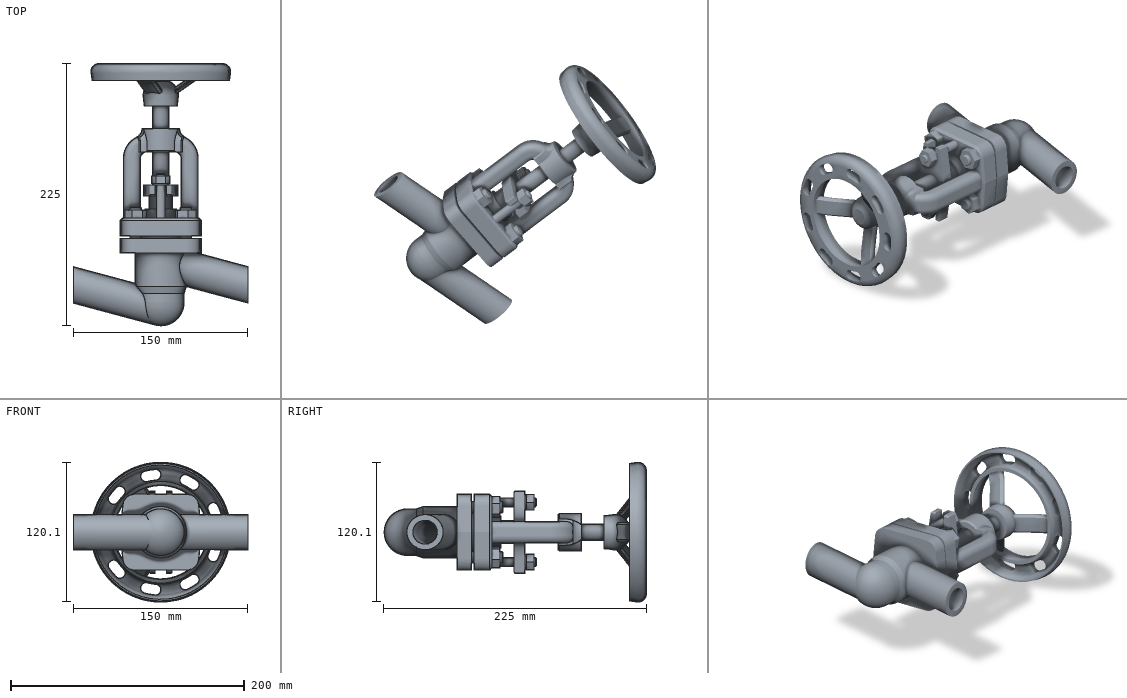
import cadquery as cq
import math

total_length = 225
pipe_span = 150.0

nose_radius = 20.0
nose_top = 27.7
body_radius = 22.0
body_cone_top = 33.5

pipe_radius = 15.0
pipe_bore_radius = 10.1
pipe_angle = 15
pipe_end_y = 35.0

flange_half_height = 32.6
flange_peak_x = 34.9
flange_corner_x = 31.7
flange_corner_radius = 10.4
body_flange_bottom = 62.5
body_flange_top = 75.0
bonnet_bottom = 77.2
bonnet_top = 92.5
bonnet_chamfer = 2.0
gasket_radius = 16.9

bolt_offset = 21.5
bolt_radius = 5.0
bolt_top = 102.2
bolt_nut_height = 6.8
bolt_nut_flats = 16.2
bolt_nut_turn = 19

stem_radius = 7.0
boss_radius = 13.7
boss_top = 100.1
gland_radius = 10.0
gland_flange_bottom = 111.4
gland_flange_top = 120.8
gland_half_length = 35.3
gland_half_width = 14.8
gland_tip_half_width = 9.5
gland_tip_fillet = 1.1
gland_tip_chamfer = 1.1
gland_slot_radius = 4.7

stud_offset = 25.6
stud_radius = 3.8
stud_top = 130.7
stud_washer_radius = 6.5
stud_washer_height = 1.1
stud_nut_height = 6.8
stud_nut_flats = 13.5
thread_end_chamfer = 1.0

yoke_ring_radius = 16.2
yoke_top = 169.2
yoke_chamfer = 1.1
yoke_counterbore_radius = 10.0
yoke_counterbore_depth = 4.5
arm_center_x = 24.8
arm_width = 14.6
arm_depth = 18.2
arm_corner_radius = 5.6
arm_bend_start = 143.5
arm_bend_radius = 13.0
yoke_bottom = arm_bend_start + arm_bend_radius - arm_width / 2
shoulder_half_depth = 11.2
shoulder_arch_start = 155.2
shoulder_top_half_depth = 6.3
shoulder_reach = 20.7
shoulder_flare_start = 162
shoulder_flare_sag = 1.0

rim_bottom = 210.4
rim_widest_y = 217.1
rim_diameter = 120.0
rim_radius = rim_diameter / 2
rim_bottom_radius = 59.0
rim_top_radius = 53.5
rim_lip_inner_radius = 57.5
web_bottom = 219.2
web_outer_radius = 53.5
web_inner_radius = 45.5
web_fillet = 3.0
inner_lip_bottom = 212.0
inner_lip_outer_radius = 43.6
inner_lip_inner_radius = 40.5
rim_bore_radius = 40.0
slot_count = 9
slot_radius = 49.5
slot_width = 9
slot_sweep = 20
slot_fillet = 4.3
hub_bottom = 188.5
hub_bottom_radius = 14.2
hub_belt_y = 196.5
hub_belt_radius = 15.0
hub_shoulder_radius = 13.7
hub_shoulder_y = 203.6
hub_top = 210.0
spoke_count = 3
spoke_width = 16.9
spoke_thickness = 6.3
spoke_edge_chamfer = 2.0
spoke_foot_radius = 12.4
spoke_foot_y = 198.5
spoke_bend_radius = 30.4
spoke_bend_y = 210.8
spoke_end_radius = 40.7
spoke_end_y = 216


def section_at(y):
    """Sketch plane across the stem axis; its local axes are X and Z."""
    return cq.Workplane("XZ", origin=(0, y, 0))


def rod(radius, y_start, y_end, x=0, z=0):
    return section_at(y_start).center(x, z).circle(radius).extrude(y_start - y_end)


def threaded_rod(radius, y_start, y_end, x, z):
    """Plain rod with a chamfered free end."""
    return rod(radius, y_start, y_end, x, z).faces(">Y").chamfer(thread_end_chamfer)


def hex_nut(flats, y_start, height, x, z, turn=0):
    corner_diameter = flats / math.cos(math.radians(30))
    nut = section_at(y_start).polygon(6, corner_diameter).extrude(-height)
    return nut.rotate((0, 0, 0), (0, 1, 0), -turn).translate((x, 0, z))


def make_body():
    profile = (
        cq.Workplane("XY")
        .moveTo(0, 0)
        .radiusArc((nose_radius, nose_radius), -nose_radius)
        .lineTo(nose_radius, nose_top)
        .lineTo(body_radius, body_cone_top)
        .lineTo(body_radius, body_flange_bottom)
        .lineTo(0, body_flange_bottom)
        .close()
    )
    return profile.revolve(360, (0, 0, 0), (0, 1, 0))


def pipe_cylinder(side, radius):
    """Sloping cylinder from the stem axis to a vertical end; side is -1 or +1."""
    end_x = pipe_span / 2
    overrun = 11.2
    slope = math.radians(pipe_angle)
    axis_y = pipe_end_y + side * end_x * math.tan(slope)
    direction = cq.Vector(side * math.cos(slope), -side * math.sin(slope), 0)
    length = end_x / math.cos(slope) + overrun
    cylinder = cq.Solid.makeCylinder(radius, length, cq.Vector(0, axis_y, 0), direction)
    keep = cq.Workplane("XY").box(pipe_span, 2 * total_length, 4 * pipe_radius)
    return cq.Workplane(cylinder).intersect(keep)


def flange_plate(y_start, y_end):
    """Plate with slightly peaked sides in X and rounded corners."""
    corner_points = [
        (flange_peak_x, 0),
        (flange_corner_x, flange_half_height),
        (-flange_corner_x, flange_half_height),
        (-flange_peak_x, 0),
        (-flange_corner_x, -flange_half_height),
        (flange_corner_x, -flange_half_height),
    ]
    plate = section_at(y_start).polyline(corner_points).close().extrude(y_start - y_end)
    corners = plate.edges("|Y").edges(">Z or <Z")
    return corners.fillet(flange_corner_radius)


def make_flanges():
    bonnet = flange_plate(bonnet_bottom, bonnet_top).faces(">Y").chamfer(bonnet_chamfer)
    gasket = rod(gasket_radius, body_flange_bottom, bonnet_top)
    flanges = flange_plate(body_flange_bottom, body_flange_top).union(gasket).union(bonnet)
    first_bolt = threaded_rod(bolt_radius, body_flange_bottom, bolt_top, bolt_offset, bolt_offset).union(
        hex_nut(bolt_nut_flats, bonnet_top, bolt_nut_height, bolt_offset, bolt_offset, bolt_nut_turn)
    )
    for quarter in range(4):
        flanges = flanges.union(first_bolt.rotate((0, 0, 0), (0, 1, 0), 90 * quarter))
    return flanges


def make_gland():
    """Packing gland with a forked flange held down by two studs."""
    outline = [
        (gland_half_width, 0),
        (gland_tip_half_width, gland_half_length),
        (-gland_tip_half_width, gland_half_length),
        (-gland_half_width, 0),
        (-gland_tip_half_width, -gland_half_length),
        (gland_tip_half_width, -gland_half_length),
    ]
    thickness = gland_flange_top - gland_flange_bottom
    flange = section_at(gland_flange_bottom).polyline(outline).close().extrude(-thickness)
    flange = flange.faces(">Z or <Z").edges("<Y").chamfer(gland_tip_chamfer)
    flange = flange.edges("|Y").edges(">Z or <Z").fillet(gland_tip_fillet)
    gland = rod(gland_radius, boss_top, gland_flange_bottom)
    gland = gland.union(rod(boss_radius, bonnet_top, boss_top))
    for side in (-1, 1):
        slot = (
            section_at(gland_flange_bottom)
            .center(0, side * (stud_offset + gland_half_length / 2))
            .slot2D(gland_half_length + 2 * gland_slot_radius, 2 * gland_slot_radius, 90)
            .extrude(-thickness)
        )
        flange = flange.cut(slot)
    gland = gland.union(flange)
    nut_seat = gland_flange_top + stud_washer_height
    for z in (-stud_offset, stud_offset):
        gland = gland.union(threaded_rod(stud_radius, bonnet_top, stud_top, 0, z))
        gland = gland.union(rod(stud_washer_radius, gland_flange_top, nut_seat, 0, z))
        gland = gland.union(hex_nut(stud_nut_flats, nut_seat, stud_nut_height, 0, z))
    return gland


def yoke_arm():
    """Arm on the +X side, rising from the bonnet and bending into the ring."""
    bend_center_x = arm_center_x - arm_bend_radius
    path = (
        cq.Workplane("XY")
        .moveTo(arm_center_x, bonnet_top)
        .lineTo(arm_center_x, arm_bend_start)
        .radiusArc((bend_center_x, arm_bend_start + arm_bend_radius), -arm_bend_radius)
    )
    bar = cq.Sketch().rect(arm_width, arm_depth).vertices().fillet(arm_corner_radius)
    return section_at(bonnet_top).center(arm_center_x, 0).placeSketch(bar).sweep(path)


def yoke_shoulder():
    """Arched block on the +X side that flares from the ring out to the arm."""
    flare_mid_radius = (yoke_ring_radius + shoulder_reach) / 2 - shoulder_flare_sag
    flare_mid_y = (yoke_top + shoulder_flare_start) / 2 - shoulder_flare_sag
    flare = (
        cq.Workplane("XY")
        .moveTo(0, yoke_bottom)
        .lineTo(shoulder_reach, yoke_bottom)
        .lineTo(shoulder_reach, shoulder_flare_start)
        .threePointArc((flare_mid_radius, flare_mid_y), (yoke_ring_radius, yoke_top))
        .lineTo(0, yoke_top)
        .close()
        .revolve(360, (0, 0, 0), (0, 1, 0))
    )
    half_arch = (
        cq.Workplane("YZ")
        .moveTo(yoke_bottom, 0)
        .lineTo(yoke_bottom, shoulder_half_depth)
        .lineTo(shoulder_arch_start, shoulder_half_depth)
        .tangentArcPoint((yoke_top, shoulder_top_half_depth), relative=False)
        .lineTo(yoke_top, 0)
        .close()
        .extrude(2 * shoulder_reach)
    )
    return flare.intersect(half_arch.union(half_arch.mirror("XY")))


def make_yoke():
    yoke = rod(yoke_ring_radius, yoke_bottom, yoke_top).faces("<Y").chamfer(yoke_chamfer)
    half = yoke_arm().union(yoke_shoulder())
    yoke = yoke.union(half).union(half.mirror("YZ"))
    return yoke.cut(rod(yoke_counterbore_radius, yoke_bottom, yoke_bottom + yoke_counterbore_depth))


def make_rim():
    """Channel-shaped rim, open towards the valve body, with slots in its web."""
    crown_mid_radius = rim_top_radius + (rim_radius - rim_top_radius) * math.sqrt(0.5)
    crown_mid_y = rim_widest_y + (total_length - rim_widest_y) * math.sqrt(0.5)
    profile = (
        cq.Workplane("XY")
        .moveTo(inner_lip_inner_radius, inner_lip_bottom)
        .lineTo(inner_lip_outer_radius, inner_lip_bottom)
        .lineTo(web_inner_radius, web_bottom)
        .lineTo(web_outer_radius, web_bottom)
        .lineTo(rim_lip_inner_radius, rim_bottom)
        .lineTo(rim_bottom_radius, rim_bottom)
        .lineTo(rim_radius, rim_widest_y)
        .threePointArc((crown_mid_radius, crown_mid_y), (rim_top_radius, total_length))
        .lineTo(rim_bore_radius, total_length)
        .lineTo(rim_bore_radius, web_bottom)
        .close()
    )
    rim = profile.revolve(360, (0, 0, 0), (0, 1, 0))
    web_zone = cq.selectors.BoxSelector(
        (-rim_radius, web_bottom - web_fillet, -rim_radius),
        (rim_radius, web_bottom + web_fillet, rim_radius),
        boundingbox=True,
    )
    web_corners = rim.edges(web_zone).edges("%CIRCLE")
    rim = web_corners.fillet(web_fillet)

    slot_outer = slot_radius + slot_width / 2
    slot_inner = slot_radius - slot_width / 2
    half_sweep = math.radians(slot_sweep / 2)
    cosine = math.cos(half_sweep)
    sine = math.sin(half_sweep)
    slot = (
        section_at(web_bottom - web_fillet)
        .moveTo(slot_inner * cosine, -slot_inner * sine)
        .lineTo(slot_outer * cosine, -slot_outer * sine)
        .threePointArc((slot_outer, 0), (slot_outer * cosine, slot_outer * sine))
        .lineTo(slot_inner * cosine, slot_inner * sine)
        .threePointArc((slot_inner, 0), (slot_inner * cosine, -slot_inner * sine))
        .close()
        .extrude(web_bottom - web_fillet - total_length)
        .edges("|Y")
        .fillet(slot_fillet)
    )
    for index in range(slot_count):
        rim = rim.cut(slot.rotate((0, 0, 0), (0, 1, 0), 180 + 360 * index / slot_count))
    return rim


def make_hub():
    profile = (
        cq.Workplane("XY")
        .moveTo(0, hub_bottom)
        .lineTo(hub_bottom_radius, hub_bottom)
        .lineTo(hub_belt_radius, hub_belt_y)
        .threePointArc((hub_shoulder_radius, hub_shoulder_y), (stem_radius, hub_top))
        .lineTo(0, hub_top)
        .close()
    )
    return profile.revolve(360, (0, 0, 0), (0, 1, 0))


def make_spoke():
    """Flat dished spoke along +X with chamfered long edges."""
    lower_line = [
        (spoke_foot_radius, spoke_foot_y),
        (spoke_bend_radius, spoke_bend_y),
        (spoke_end_radius, spoke_end_y),
    ]
    upper_line = [(x, y + spoke_thickness) for x, y in reversed(lower_line)]
    bar = (
        cq.Workplane("XY")
        .polyline(lower_line + upper_line)
        .close()
        .extrude(spoke_width / 2, both=True)
    )
    return bar.faces("<Z or >Z").edges("not |Y").chamfer(spoke_edge_chamfer)


def make_handwheel():
    wheel = make_rim().union(make_hub())
    for index in range(spoke_count):
        wheel = wheel.union(make_spoke().rotate((0, 0, 0), (0, 1, 0), 360 * index / spoke_count))
    return wheel


def make_valve():
    valve = make_body()
    for side in (-1, 1):
        valve = valve.union(pipe_cylinder(side, pipe_radius))
    for side in (-1, 1):
        valve = valve.cut(pipe_cylinder(side, pipe_bore_radius))
    stem = rod(stem_radius, bonnet_top, hub_top)
    for part in (make_flanges(), make_gland(), make_yoke(), stem, make_handwheel()):
        valve = valve.union(part)
    return valve


result = make_valve()